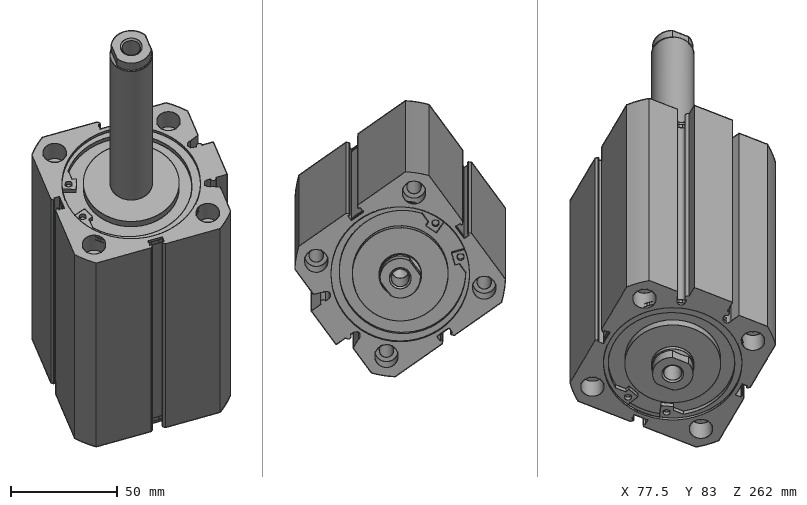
import cadquery as cq
import math


body_width = 77.5
half_width = body_width / 2
body_length = 146.0
corner_radius = 49.5
bore_radius = 32.5
mount_pitch = 56.5
mount_hole_dia = 6.8
mount_cbore_dia = 11.0
mount_cbore_depth = 12.0

slot_depth = 4.3
slot_width = 7.0
throat_width = 5.0
lip_bevel = 1.0
lip_depth = 1.6

rib_width = 20.0
rib_top = 44.25
groove_radius = 2.0
groove_x = rib_width / 2 + groove_radius
groove_y = 34.25
groove_mouth_x = 16.0
bead_radius = 1.4
bead_y = 37.3

ring_radius = 34.5
ring_thickness = 2.5
ring_recess = 1.6
ring_inner_radius = 29.7
ring_inner_offset = -1.3
lug_angle = 20.0
lug_width = 6.0
lug_inner = 25.8
lug_hole_radius = 29.4
lug_hole_dia = 3.2
land_x = 18.3
land_y = -25.2

cover_thickness = 15.0
cover_boss_radius = 22.5
cover_face = ring_recess + ring_thickness

rod_radius = 10.0
tip_reach = 8.0
stroke = 100.0
rod_bottom = -tip_reach
rod_top = body_length + tip_reach + stroke
tip_radius = 9.5
tip_length = 6.0
shoulder_height = 1.0
flat_width = 17.0
tap_dia = 8.5
tap_mouth_dia = 10.2
tap_depth = 18.0
drill_half_angle = 59.0


def prism(sketch_points, height):
    return cq.Workplane("XY").polyline(sketch_points).close().extrude(height)


def cylinder(radius, height, z=0.0):
    return cq.Workplane("XY").workplane(offset=z).circle(radius).extrude(height)


def flip_to_bottom(body):
    """Mirror a body from the top end of the housing to the bottom end."""
    return body.mirror("XY", (0, 0, body_length / 2))


def switch_slot(angle):
    """Undercut slot in the +X face, turned about Z by the angle."""
    mouth = half_width
    bevel = half_width - lip_bevel
    lip = half_width - lip_depth
    floor = half_width - slot_depth
    upper = [
        (mouth, slot_width / 2),
        (bevel, throat_width / 2),
        (lip, throat_width / 2),
        (lip, slot_width / 2),
        (floor, slot_width / 2),
    ]
    lower = [(x, -y) for x, y in reversed(upper)]
    return prism(upper + lower, body_length).rotate((0, 0, 0), (0, 0, 1), angle)


def rib_groove():
    """Groove on the +X side of the rib, leaving a round bead on the rib."""
    mouth = prism(
        [
            (groove_x - groove_radius, groove_y),
            (groove_x + groove_radius, groove_y),
            (groove_mouth_x, half_width),
            (groove_x - groove_radius, half_width),
        ],
        body_length,
    )
    bulb = cylinder(groove_radius, body_length).translate((groove_x, groove_y, 0))
    bead = cylinder(bead_radius, body_length).translate((rib_width / 2, bead_y, 0))
    return mouth.union(bulb).cut(bead)


def ring_groove():
    z = body_length - ring_recess - ring_thickness
    return cylinder(ring_radius, ring_thickness, z)


def make_housing():
    body = cq.Workplane("XY").rect(body_width, body_width).extrude(body_length)
    body = body.intersect(cylinder(corner_radius, body_length))
    rib = (
        cq.Workplane("XY")
        .center(0, (bore_radius + rib_top) / 2)
        .rect(rib_width, rib_top - bore_radius)
        .extrude(body_length)
    )
    body = body.union(rib)
    groove = rib_groove()
    body = body.cut(groove).cut(groove.mirror("YZ"))
    for angle in (0, 180, 270):
        body = body.cut(switch_slot(angle))
    body = body.cut(cylinder(bore_radius, body_length))
    body = body.cut(ring_groove()).cut(flip_to_bottom(ring_groove()))
    holes = cq.Workplane("XY").rect(mount_pitch, mount_pitch, forConstruction=True).vertices()
    body = body.cut(holes.circle(mount_hole_dia / 2).extrude(body_length))
    cbores = holes.circle(mount_cbore_dia / 2).extrude(mount_cbore_depth)
    return body.cut(cbores).cut(flip_to_bottom(cbores))


def make_cover():
    """Top cover: a disc behind the ring with a boss flush with the housing end."""
    disc = cylinder(bore_radius, cover_thickness, body_length - cover_face - cover_thickness)
    boss = cylinder(cover_boss_radius, cover_face, body_length - cover_face)
    return disc.union(boss).cut(cylinder(rod_radius, body_length))


def at_lug(body, side):
    """Turn a body from the -Y axis to a lug; side is +1 for +X and -1 for -X."""
    return body.rotate((0, 0, 0), (0, 0, 1), side * lug_angle)


def make_ring():
    """Top retaining ring: tapered band, open at -Y, with a lug at each end."""
    blank = cylinder(ring_radius, ring_thickness)
    window = cylinder(ring_inner_radius, ring_thickness).translate((0, ring_inner_offset, 0))
    lands = prism(
        [(-land_x, land_y), (land_x, land_y), (land_x, -ring_radius), (-land_x, -ring_radius)],
        ring_thickness,
    )
    ring = blank.cut(window.cut(lands))
    gap_x = ring_radius * math.tan(math.radians(lug_angle))
    ring = ring.cut(prism([(0, 0), (gap_x, -ring_radius), (-gap_x, -ring_radius)], ring_thickness))
    lug = (
        cq.Workplane("XY")
        .center(0, -(lug_inner + ring_radius) / 2)
        .rect(lug_width, ring_radius - lug_inner)
        .extrude(ring_thickness)
        .intersect(blank)
    )
    plier_hole = cylinder(lug_hole_dia / 2, ring_thickness).translate((0, -lug_hole_radius, 0))
    for side in (-1, 1):
        ring = ring.union(at_lug(lug, side)).cut(at_lug(plier_hole, side))
    return ring.translate((0, 0, body_length - ring_recess - ring_thickness))


def make_rod():
    """Rod through both covers, with the same tip at each end."""
    middle = (rod_top + rod_bottom) / 2
    half_length = (rod_top - rod_bottom) / 2
    shank_top = half_length - tip_length
    flat_radius = flat_width / 2
    shoulder = (
        cq.Workplane("XZ")
        .polyline(
            [
                (0, 0),
                (rod_radius, 0),
                (rod_radius, shank_top),
                (flat_radius, shank_top + shoulder_height),
                (0, shank_top + shoulder_height),
            ]
        )
        .close()
        .revolve(360, (0, 0, 0), (0, 1, 0))
    )
    across_flats = (
        cq.Workplane("XY")
        .workplane(offset=shank_top)
        .rect(2 * rod_radius, flat_width)
        .extrude(tip_length)
    )
    tip = cylinder(tip_radius, tip_length, shank_top).intersect(across_flats)
    drill_tip = tap_dia / 2 / math.tan(math.radians(drill_half_angle))
    mouth_bevel = (tap_mouth_dia - tap_dia) / 2
    tapped_hole = (
        cq.Workplane("XZ")
        .polyline(
            [
                (0, half_length),
                (tap_mouth_dia / 2, half_length),
                (tap_dia / 2, half_length - mouth_bevel),
                (tap_dia / 2, half_length - tap_depth),
                (0, half_length - tap_depth - drill_tip),
            ]
        )
        .close()
        .revolve(360, (0, 0, 0), (0, 1, 0))
    )
    upper = shoulder.union(tip).cut(tapped_hole)
    return upper.union(upper.mirror("XY")).translate((0, 0, middle))


housing = make_housing()
rod = make_rod()
top_cover = make_cover()
top_ring = make_ring()
covers = [top_cover, flip_to_bottom(top_cover)]
rings = [top_ring, flip_to_bottom(top_ring)]

result = cq.Compound.makeCompound(
    [housing.val(), rod.val()] + [cover.val() for cover in covers] + [ring.val() for ring in rings]
)